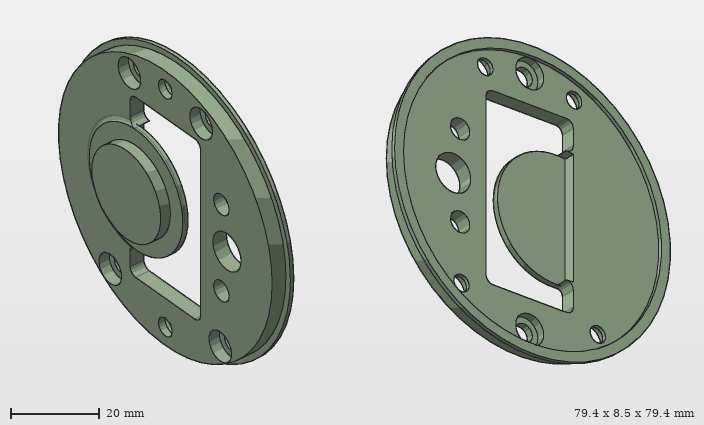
import cadquery as cq
import math

rim_diameter = 79.4
rim_thickness = 1.0
body_diameter = 76.2
plate_depth = 5.1
recess_diameter = 74.2
recess_depth = 1.0

window_width = 25.1
window_height = 50.0
window_corner_radius = 2.0

pad_x = -9.8
pad_radius = 16.7
pad_front = 5.6
pad_thickness = 1.6
boss_diameter = 24.5
overall_depth = 8.5
blend_width = 1.2

screw_hole_diameter = 4.4
counterbore_diameter = 8.0
counterbore_depth = 3.0
upper_screw_x = 12.8
upper_screw_z = 30.5
lower_screw_x = 19.6
lower_screw_z = -27.6

pin_hole_depth = 1.9
pin_hole_diameter = 4.85
pin_hole_z = 33.0

side_hole_diameter = 5.5
side_hole_x = 20.0
side_hole_z = 12.0
center_hole_diameter = 10.0
center_hole_x = 22.0


def cylinder(diameter, rear, front, positions=((0, 0),)):
    """Cylinders along Y between two depths measured forward from the rear face."""
    return (
        cq.Workplane("XZ", origin=(0, -rear, 0))
        .pushPoints(positions)
        .circle(diameter / 2)
        .extrude(front - rear)
    )


def window():
    """Rectangle with a bite left for the pad; every corner is rounded."""
    pad_keepout = cylinder(2 * pad_radius, 0, plate_depth, [(pad_x, 0)])
    return (
        cq.Workplane("XZ")
        .rect(window_width, window_height)
        .extrude(plate_depth)
        .cut(pad_keepout)
        .edges("|Y")
        .fillet(window_corner_radius)
    )


def pad_blend():
    """Concave ring that runs from the plate face up to the pad's front edge."""
    height = pad_front - plate_depth
    arc_radius = (blend_width**2 + height**2) / (2 * height)
    outer_radius = pad_radius + blend_width
    half_angle = math.asin(blend_width / arc_radius) / 2
    arc_middle = (
        outer_radius - arc_radius * math.sin(half_angle),
        -plate_depth - arc_radius * (1 - math.cos(half_angle)),
    )
    return (
        cq.Workplane("XY")
        .moveTo(pad_radius, -plate_depth)
        .lineTo(outer_radius, -plate_depth)
        .threePointArc(arc_middle, (pad_radius, -pad_front))
        .close()
        .revolve(360, (0, 0, 0), (0, 1, 0))
        .translate((pad_x, 0, 0))
    )


plate = cylinder(rim_diameter, 0, rim_thickness)
plate = plate.union(cylinder(body_diameter, 0, plate_depth))
plate = plate.cut(cylinder(recess_diameter, 0, recess_depth))

window_box = cq.Workplane("XZ").rect(window_width, window_height).extrude(overall_depth)
pad_rear = pad_front - pad_thickness
under_pad = cylinder(2 * pad_radius, 0, pad_rear, [(pad_x, 0)]).intersect(window_box)
plate = plate.cut(window()).cut(under_pad)

blend = pad_blend().cut(window().translate((0, plate_depth - pad_front, 0)))
pad = cylinder(2 * pad_radius, pad_rear, pad_front, [(pad_x, 0)])
boss = cylinder(boss_diameter, pad_front, overall_depth, [(pad_x, 0)])
result = plate.union(pad).union(blend).union(boss)

screw_positions = [
    (side * x, z)
    for side in (-1, 1)
    for x, z in ((upper_screw_x, upper_screw_z), (lower_screw_x, lower_screw_z))
]
counterbore_floor = plate_depth - counterbore_depth
result = result.cut(cylinder(screw_hole_diameter, 0, plate_depth, screw_positions))
result = result.cut(cylinder(counterbore_diameter, counterbore_floor, plate_depth, screw_positions))

pin_positions = [(0, pin_hole_z), (0, -pin_hole_z)]
pin_hole_rear = plate_depth - pin_hole_depth
result = result.cut(cylinder(pin_hole_diameter, 0, plate_depth, pin_positions))
result = result.cut(cylinder(counterbore_diameter, 0, pin_hole_rear, pin_positions))

plain_holes = [
    (side_hole_diameter, [(side_hole_x, side_hole_z), (side_hole_x, -side_hole_z)]),
    (center_hole_diameter, [(center_hole_x, 0)]),
]
for diameter, positions in plain_holes:
    result = result.cut(cylinder(diameter, 0, plate_depth, positions))